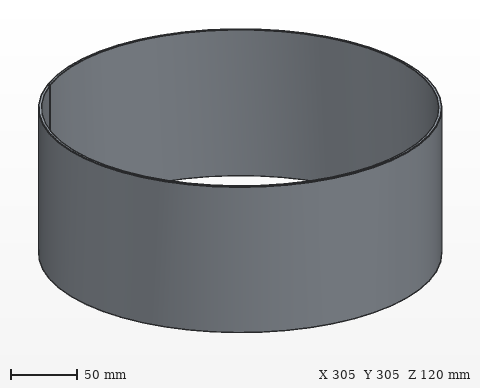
import cadquery as cq

OUTER_DIAMETER = 305.0
WALL = 2.5
HEIGHT = 120.0
OUTER_CHAMFER = 0.5
INNER_CHAMFER = 0.2
GAP_ANGLE = 1.0

outer_radius = OUTER_DIAMETER / 2
inner_radius = outer_radius - WALL


def make_wall_section():
    """Wall cross-section on the -X side, with all four corners chamfered."""
    outer_land = outer_radius - OUTER_CHAMFER
    inner_land = inner_radius + INNER_CHAMFER
    corners = [
        (-outer_radius, OUTER_CHAMFER),
        (-outer_land, 0),
        (-inner_land, 0),
        (-inner_radius, INNER_CHAMFER),
        (-inner_radius, HEIGHT - INNER_CHAMFER),
        (-inner_land, HEIGHT),
        (-outer_land, HEIGHT),
        (-outer_radius, HEIGHT - OUTER_CHAMFER),
    ]
    return cq.Workplane("XZ").polyline(corners).close()


def make_split_ring():
    """Sweep the section about Z from -X through -Y, stopping short of a full turn to leave the gap."""
    return make_wall_section().revolve(360 - GAP_ANGLE, (0, 0, 0), (0, 1, 0))


result = make_split_ring()